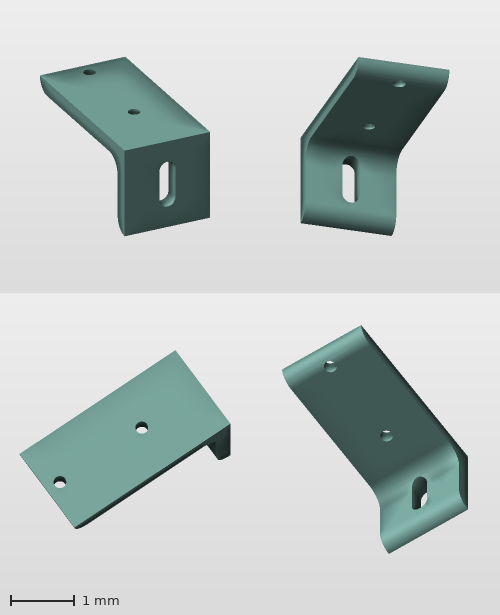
import cadquery as cq

length = 3.0
width = 1.5
height = 1.5
thickness = 0.25

toe_radius = thickness
inner_radius = 0.3

hole_diameter = 0.2
hole_positions = (0.25, 1.825)

slot_length = 0.785
slot_width = 0.28
slot_center_z = -height / 2


def angle_profile():
    """L-shaped section with its outer faces on z = 0 and x = length."""
    inner_x = length - thickness
    return (
        cq.Workplane("XZ")
        .lineTo(length, 0)
        .lineTo(length, -height)
        .radiusArc((inner_x, -height + toe_radius), toe_radius)
        .lineTo(inner_x, -thickness - inner_radius)
        .radiusArc((inner_x - inner_radius, -thickness), -inner_radius)
        .lineTo(toe_radius, -thickness)
        .radiusArc((0, 0), toe_radius)
        .close()
    )


def long_leg_holes():
    return (
        cq.Workplane("XY")
        .pushPoints([(x, 0) for x in hole_positions])
        .circle(hole_diameter / 2)
        .extrude(-height)
    )


def short_leg_slot():
    """Slot cutter reaching through the short leg and the inner fillet."""
    cutter_depth = thickness + inner_radius
    return (
        cq.Workplane("YZ", origin=(length - cutter_depth, 0, slot_center_z))
        .slot2D(slot_length, slot_width, angle=90)
        .extrude(cutter_depth)
    )


bracket = angle_profile().extrude(width / 2, both=True)
result = bracket.cut(long_leg_holes()).cut(short_leg_slot())